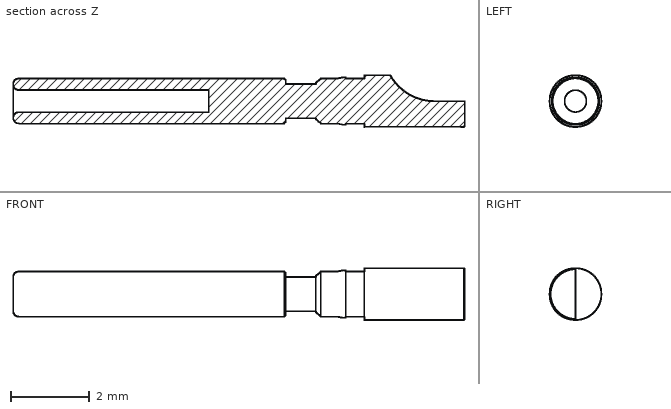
import cadquery as cq
import math

total_length = 11.55
barrel_end = 6.97
collar_start = 7.74
band_ramp_start = 8.29
band_start = 8.43
band_end = 8.50
head_start = 8.98

barrel_radius = 0.58
neck_radius = 0.44
band_radius = 0.61
head_radius = 1.33 / 2

barrel_end_chamfer = 0.04
collar_chamfer_length = 0.13
collar_chamfer_height = 0.11
head_end_chamfer = 0.03

socket_radius = 0.28
socket_depth = 5.0
rim_radius = (barrel_radius - socket_radius) / 2

cutaway_start = 9.64
cutaway_radius = 1.3
cutaway_floor = 0.0


def make_body():
    """Revolve the stepped half profile, with its rounded socket mouth, about X."""
    rim_middle = barrel_radius - rim_radius
    profile = (
        cq.Workplane("XY")
        .moveTo(socket_depth, 0)
        .lineTo(socket_depth, socket_radius)
        .lineTo(rim_radius, socket_radius)
        .threePointArc((0, rim_middle), (rim_radius, barrel_radius))
        .lineTo(barrel_end - barrel_end_chamfer, barrel_radius)
        .lineTo(barrel_end, barrel_radius - barrel_end_chamfer)
        .lineTo(barrel_end, neck_radius)
        .lineTo(collar_start, neck_radius)
        .lineTo(collar_start, barrel_radius - collar_chamfer_height)
        .lineTo(collar_start + collar_chamfer_length, barrel_radius)
        .lineTo(band_ramp_start, barrel_radius)
        .lineTo(band_start, band_radius)
        .lineTo(band_end, band_radius)
        .lineTo(band_end, barrel_radius)
        .lineTo(head_start, barrel_radius)
        .lineTo(head_start, head_radius)
        .lineTo(total_length - head_end_chamfer, head_radius)
        .lineTo(total_length, head_radius - head_end_chamfer)
        .lineTo(total_length, 0)
        .close()
    )
    return profile.revolve(360, (0, 0, 0), (1, 0, 0))


def make_cutaway():
    """Cutter that sweeps down along an arc, tangent to a flat floor through the axis."""
    arc_center_y = cutaway_floor + cutaway_radius
    start_angle = math.acos((arc_center_y - head_radius) / cutaway_radius)
    arc_end_x = cutaway_start + cutaway_radius * math.sin(start_angle)
    mid_angle = start_angle / 2
    arc_middle = (
        arc_end_x - cutaway_radius * math.sin(mid_angle),
        arc_center_y - cutaway_radius * math.cos(mid_angle),
    )
    clearance = head_radius
    top_y = head_radius + clearance
    end_x = total_length + clearance
    half_height = head_radius + clearance
    return (
        cq.Workplane("XY")
        .moveTo(cutaway_start, head_radius)
        .threePointArc(arc_middle, (arc_end_x, cutaway_floor))
        .lineTo(end_x, cutaway_floor)
        .lineTo(end_x, top_y)
        .lineTo(cutaway_start, top_y)
        .close()
        .extrude(half_height, both=True)
    )


result = make_body().cut(make_cutaway())